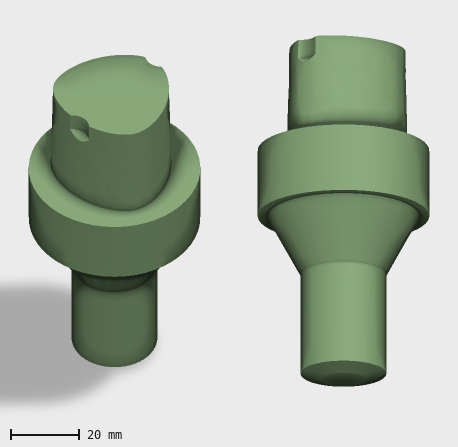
import cadquery as cq
import math

total_height = 100.0
shank_radius = 12.5
tip_radius = 6.5
tip_height = 1.8
shank_top = 32.0
cone_top_radius = 22.0
flange_radius = 25.0
rim_height = 0.4
flange_bottom = 50.0
flange_top = 70.0

base_mean_radius = 17.6
top_mean_radius = 16.9
lobe_height = 1.2
lobe_count = 3
curve_points = 72

groove_radius = 4.8
groove_wall_depth = 5.5
groove_radial_depth = 1.8


def make_turned_body():
    """Revolve the shank, cone, thin straight rim and flange about Z."""
    return (
        cq.Workplane("XZ")
        .lineTo(tip_radius, 0)
        .lineTo(shank_radius, tip_height)
        .lineTo(shank_radius, shank_top)
        .lineTo(cone_top_radius, flange_bottom - rim_height)
        .lineTo(cone_top_radius, flange_bottom)
        .lineTo(flange_radius, flange_bottom)
        .lineTo(flange_radius, flange_top)
        .lineTo(0, flange_top)
        .close()
        .revolve(360, (0, 0, 0), (0, 1, 0))
    )


def lobed_point(mean_radius, turn):
    """Point whose tangent lies mean_radius + lobe_height * cos(3 * angle) from the axis."""
    angle = 2 * math.pi * turn
    tangent_distance = mean_radius + lobe_height * math.cos(lobe_count * angle)
    along_tangent = -lobe_count * lobe_height * math.sin(lobe_count * angle)
    x = tangent_distance * math.sin(angle) + along_tangent * math.cos(angle)
    y = tangent_distance * math.cos(angle) - along_tangent * math.sin(angle)
    return x, y


def lobed_outline(mean_radius, height):
    """Closed smooth lobed wire at the given height."""
    points = []
    for index in range(curve_points):
        x, y = lobed_point(mean_radius, index / curve_points)
        points.append(cq.Vector(x, y, height))
    return cq.Wire.assembleEdges([cq.Edge.makeSpline(points, periodic=True)])


def make_polygon_shank():
    """Straight-sided loft between the base and top outlines."""
    base = lobed_outline(base_mean_radius, flange_top)
    top = lobed_outline(top_mean_radius, total_height)
    return cq.Workplane(obj=cq.Solid.makeLoft([base, top], True))


def make_groove_cutter(axis_y):
    """Upright round cutter with a 90 degree conical point."""
    wall_bottom = total_height - groove_wall_depth
    wall = (
        cq.Workplane("XY", origin=(0, axis_y, wall_bottom))
        .circle(groove_radius)
        .extrude(groove_wall_depth)
    )
    point = cq.Solid.makeCone(
        groove_radius, 0, groove_radius, cq.Vector(0, axis_y, wall_bottom), cq.Vector(0, 0, -1)
    )
    return wall.union(cq.Workplane(obj=point))


result = make_turned_body().union(make_polygon_shank())
axis_offset = groove_radius - groove_radial_depth
lobe_axis_y = top_mean_radius + lobe_height + axis_offset
flat_axis_y = -(top_mean_radius - lobe_height + axis_offset)
for groove_axis_y in (lobe_axis_y, flat_axis_y):
    result = result.cut(make_groove_cutter(groove_axis_y))